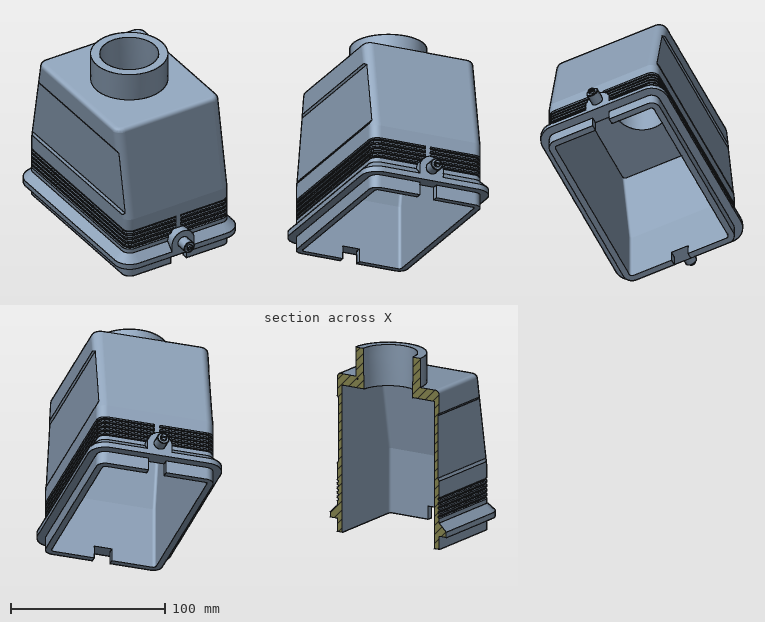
import cadquery as cq

length = 150.5
width = 90.0
height = 126.5

body_width = 79.0
flange_overhang = (width - body_width) / 2
flange_length = 132.0
body_length = flange_length - 2 * flange_overhang
body_top = 107.0
taper_start = 43.5
top_length = 97.8
corner_radius = 6.0
top_fillet = 3.0

flange_bottom = 8.9
flange_edge_top = 12.6
flange_top = 17.9

wall = 4.0
roof = 8.0
collar_diameter = 50.1
bore_top_diameter = 38.2
bore_bottom_diameter = 37.5
end_notch_width = 11.9

recess_bottom = 46.0
recess_top = 91.5
recess_depth = 0.98
recess_lower_slope = 2.0
recess_upper_slope = 1.5

groove_count = 5
groove_band_bottom = 20.9
groove_band_top = 34.9
groove_opening = 2.0
groove_floor = 0.8
groove_depth = 0.8
groove_web_width = 3.8

pin_height = 17.5
ear_radius = 8.5
pin_diameter = 7.8
pin_chamfer = 0.3
tip_diameter = 4.2
tip_length = 1.5
slot_width = 0.98


def body_section(offset, z):
    """Rounded rectangle of the body, grown outwards by offset, at height z."""
    sketch = cq.Sketch().rect(body_length + 2 * offset, body_width + 2 * offset)
    return sketch.vertices().fillet(corner_radius + offset).moved(cq.Location(cq.Vector(0, 0, z)))


def body_layer(bottom, bottom_offset, top, top_offset):
    """Layer with the body's section whose offset changes evenly from bottom to top."""
    sections = (body_section(bottom_offset, bottom), body_section(top_offset, top))
    return cq.Workplane("XY").placeSketch(*sections).loft(ruled=True)


def hood_solid(inset, top):
    """Hood shape with its sides moved inwards by inset and a flat top at the given height."""
    lean = (body_length - top_length) / 2 / (body_top - taper_start)
    half_base = body_length / 2 - inset
    half_top = half_base - lean * (top - taper_start)
    size_y = body_width - 2 * inset
    outline = [
        (-half_base, 0),
        (half_base, 0),
        (half_base, taper_start),
        (half_top, top),
        (-half_top, top),
        (-half_base, taper_start),
    ]
    hood = cq.Workplane("XZ").polyline(outline).close().extrude(size_y / 2, both=True)
    standing_edges = hood.edges("not |Y").edges("not |X")
    return standing_edges.fillet(corner_radius - inset)


def flange():
    """Rim around the foot of the body with a sloped upper side."""
    edge = body_layer(flange_bottom, flange_overhang, flange_edge_top, flange_overhang)
    slope = body_layer(flange_edge_top, flange_overhang, flange_top, 0)
    return edge.union(slope)


def side_recess():
    """Cutter for the shallow recess across the +Y side."""
    outer = body_width / 2
    outline = [
        (outer, recess_bottom),
        (outer - recess_depth, recess_bottom + recess_lower_slope),
        (outer - recess_depth, recess_top - recess_upper_slope),
        (outer, recess_top),
    ]
    return cq.Workplane("YZ").polyline(outline).close().extrude(length / 2, both=True)


def groove_ring(bottom):
    """Ring of trapezoidal section around the body, wide side outwards."""
    slope_height = (groove_opening - groove_floor) / 2
    floor_bottom = bottom + slope_height
    floor_top = floor_bottom + groove_floor
    top = bottom + groove_opening
    waist = (
        body_layer(bottom, 0, floor_bottom, -groove_depth)
        .union(body_layer(floor_bottom, -groove_depth, floor_top, -groove_depth))
        .union(body_layer(floor_top, -groove_depth, top, 0))
    )
    return body_layer(bottom, 0, top, 0).cut(waist)


def grip_grooves():
    """Stack of groove rings, interrupted by a plain web at the middle of each end."""
    band_height = groove_band_top - groove_band_bottom
    pitch = (band_height - groove_opening) / (groove_count - 1)
    web = (
        cq.Workplane("XY")
        .workplane(offset=groove_band_bottom)
        .rect(length, groove_web_width)
        .extrude(band_height)
    )
    grooves = groove_ring(groove_band_bottom)
    for index in range(1, groove_count):
        grooves = grooves.union(groove_ring(groove_band_bottom + index * pitch))
    return grooves.cut(web)


def end_features():
    """Ear and slotted pin on the +X end."""
    ear_face = flange_length / 2
    ear_start = body_length / 2 - wall
    pin_shoulder = length / 2 - tip_length
    ear_plane = cq.Workplane("YZ").workplane(offset=ear_start)
    ear = ear_plane.center(0, pin_height).circle(ear_radius).extrude(ear_face - ear_start)
    foot_height = pin_height - flange_bottom
    foot = (
        ear_plane.center(0, flange_bottom + foot_height / 2)
        .rect(2 * ear_radius, foot_height)
        .extrude(ear_face - ear_start)
    )
    pin_plane = cq.Workplane("YZ", origin=(ear_face, 0, pin_height))
    pin = pin_plane.circle(pin_diameter / 2).extrude(pin_shoulder - ear_face)
    pin = pin.faces(">X").chamfer(pin_chamfer)
    tip_plane = cq.Workplane("YZ", origin=(pin_shoulder, 0, pin_height))
    tip = tip_plane.circle(tip_diameter / 2).extrude(tip_length)
    slot = tip_plane.rect(tip_diameter, slot_width).extrude(tip_length)
    return ear.union(foot).union(pin).union(tip.cut(slot))


def collar():
    """Round collar standing on the roof."""
    base = cq.Workplane("XY").workplane(offset=body_top)
    return base.circle(collar_diameter / 2).extrude(height - body_top)


def cable_bore():
    """Slightly conical bore through the collar and the roof."""
    depth = height - body_top + roof
    return (
        cq.Workplane("XY")
        .workplane(offset=height)
        .circle(bore_top_diameter / 2)
        .workplane(offset=-depth)
        .circle(bore_bottom_diameter / 2)
        .loft()
    )


def end_notches():
    """Openings in both end walls below the flange."""
    return cq.Workplane("XY").rect(length, end_notch_width).extrude(flange_bottom)


hood = hood_solid(0, body_top).faces(">Z").edges().fillet(top_fillet)
hood = hood.cut(side_recess()).cut(side_recess().mirror("XZ")).cut(grip_grooves())

ends = end_features()
hood = hood.union(flange()).union(ends).union(ends.mirror("YZ")).union(collar())

result = hood.cut(hood_solid(wall, body_top - roof)).cut(cable_bore()).cut(end_notches())